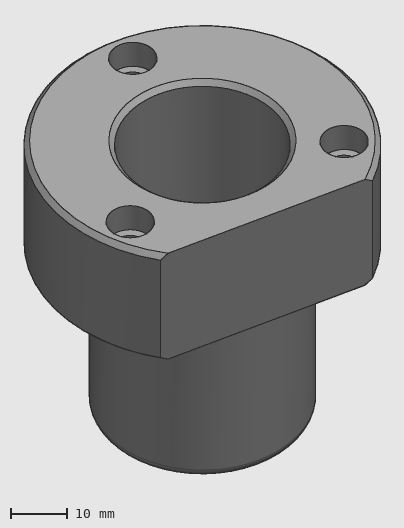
import cadquery as cq

flange_diameter = 62.95
flange_height = 25.0
flat_offset = 23.05
edge_chamfer = 1.0

total_height = 62.0
spigot_diameter = 40.0
spigot_end_radius = 2.0
groove_depth = 0.7
groove_width = 2.0

bore_diameter = 31.0

screw_count = 3
screw_circle_radius = 25.0
screw_diameter = 5.5
head_diameter = 8.5
head_depth = 5.65

spigot_height = total_height - flange_height


def make_flange():
    """Chamfered disc, trimmed flat on the +X side."""
    disc = (
        cq.Workplane("XY")
        .workplane(offset=spigot_height)
        .circle(flange_diameter / 2)
        .extrude(flange_height)
        .edges()
        .chamfer(edge_chamfer)
    )
    flat_trim = cq.Workplane("XY").box(
        flange_diameter, flange_diameter, total_height, centered=(False, True, False)
    )
    return disc.cut(flat_trim.translate((flat_offset, 0, 0)))


def make_spigot():
    """Cylinder with a rounded lower end and a narrower neck under the flange."""
    spigot_radius = spigot_diameter / 2
    neck_radius = spigot_radius - groove_depth
    groove_bottom = spigot_height - groove_width
    profile = (
        cq.Workplane("XZ")
        .lineTo(spigot_radius, 0)
        .lineTo(spigot_radius, groove_bottom)
        .lineTo(neck_radius, groove_bottom + groove_depth)
        .lineTo(neck_radius, spigot_height)
        .lineTo(0, spigot_height)
        .close()
    )
    spigot = profile.revolve(360, (0, 0, 0), (0, 1, 0))
    return spigot.faces("<Z").edges().fillet(spigot_end_radius)


def cut_bore(body):
    """Through bore with a chamfered mouth at the top."""
    bore_radius = bore_diameter / 2
    bore = (
        cq.Workplane("XZ")
        .lineTo(bore_radius, 0)
        .lineTo(bore_radius, total_height - edge_chamfer)
        .lineTo(bore_radius + edge_chamfer, total_height)
        .lineTo(0, total_height)
        .close()
        .revolve(360, (0, 0, 0), (0, 1, 0))
    )
    return body.cut(bore)


result = cut_bore(make_flange().union(make_spigot()))

result = (
    result.faces(">Z")
    .workplane(origin=(0, 0, total_height))
    .polarArray(screw_circle_radius, 180, 360, screw_count)
    .cboreHole(screw_diameter, head_diameter, head_depth)
)